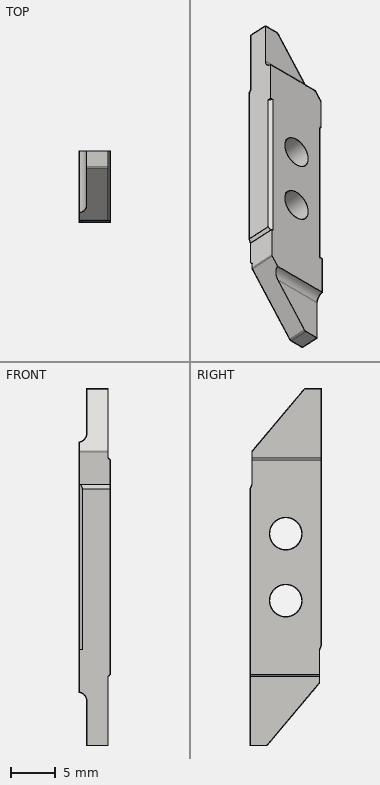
import cadquery as cq
import math

THICKNESS = 3.5
WIDTH = 8.0
LENGTH = 40.0

SIDE_RELIEF = 0.2
RELIEF_START_Z = 9.25
RELIEF_RAMP_HEIGHT = 0.5
SLOPE_START_Z = 12.95
SLOPE_ANGLE = 50.0
SLOPE_START_RADIUS = 0.2
SLOPE_TIP_RADIUS = 0.3

TIP_DEPTH = 0.85
COVE_RADIUS = 1.0
COVE_CENTER_Z = 15.0
BACK_RELIEF = 0.25
BACK_SHOULDER_Z = 12.0

EDGE_CHAMFER = 0.4
HOLE_DIAMETER = 3.6
HOLE_SPACING = 7.5

FACE_X = THICKNESS / 2
SIDE_Y = WIDTH / 2
END_Z = LENGTH / 2


def half_turned(points):
    """Points turned by 180 degrees in their sketch plane."""
    return [(-a, -b) for a, b in points]


def side_outline():
    """Plate of full thickness with the sloped tips and the relieved sides."""
    relieved_y = -SIDE_Y + SIDE_RELIEF
    slope_run = (END_Z - SLOPE_START_Z) / math.tan(math.radians(SLOPE_ANGLE))
    slope_corners = [
        (relieved_y, SLOPE_START_Z),
        (relieved_y + slope_run, END_Z),
    ]
    half = [
        (-SIDE_Y, RELIEF_START_Z - RELIEF_RAMP_HEIGHT),
        (relieved_y, RELIEF_START_Z),
        *slope_corners,
        (SIDE_Y, END_Z),
    ]
    plate = (
        cq.Workplane("YZ")
        .polyline(half + half_turned(half))
        .close()
        .extrude(FACE_X, both=True)
    )
    for corner, radius in zip(slope_corners, (SLOPE_START_RADIUS, SLOPE_TIP_RADIUS)):
        for y, z in [corner] + half_turned([corner]):
            nearest_edge = cq.selectors.NearestToPointSelector((0, y, z))
            plate = plate.edges("|X").edges(nearest_edge).fillet(radius)
    return plate


def thickness_profile():
    """Full-width bar with the stepped thickness seen along Y."""
    front_x = -FACE_X
    tip_front_x = front_x + TIP_DEPTH
    tip_back_x = FACE_X - BACK_RELIEF
    cove_center_x = tip_front_x - COVE_RADIUS
    cove_angle = math.acos((front_x - cove_center_x) / COVE_RADIUS)
    cove_end_z = COVE_CENTER_Z - COVE_RADIUS * math.sin(cove_angle)
    cove_mid = (
        cove_center_x + COVE_RADIUS * math.cos(cove_angle / 2),
        COVE_CENTER_Z - COVE_RADIUS * math.sin(cove_angle / 2),
    )
    shoulder_top_z = BACK_SHOULDER_Z + BACK_RELIEF
    upper_half = (
        cq.Workplane("XZ")
        .moveTo(front_x, 0)
        .lineTo(front_x, cove_end_z)
        .threePointArc(cove_mid, (tip_front_x, COVE_CENTER_Z))
        .lineTo(tip_front_x, END_Z)
        .lineTo(tip_back_x, END_Z)
        .lineTo(tip_back_x, shoulder_top_z)
        .lineTo(FACE_X, BACK_SHOULDER_Z)
        .lineTo(FACE_X, 0)
        .close()
        .extrude(SIDE_Y, both=True)
    )
    return upper_half.union(upper_half.mirror("XY"))


def edge_bevel(side):
    """Triangular cutter for the long -X edge on the given side (+1 or -1)."""
    corner_y = side * SIDE_Y
    return (
        cq.Workplane("XY", origin=(-FACE_X, corner_y, 0))
        .polyline([(0, 0), (EDGE_CHAMFER, 0), (0, -side * EDGE_CHAMFER)])
        .close()
        .extrude(RELIEF_START_Z, both=True)
    )


def mounting_holes():
    """Two through holes along X."""
    return (
        cq.Workplane("YZ")
        .pushPoints([(0, HOLE_SPACING / 2), (0, -HOLE_SPACING / 2)])
        .circle(HOLE_DIAMETER / 2)
        .extrude(FACE_X, both=True)
    )


body = side_outline().intersect(thickness_profile())
for side in (1, -1):
    body = body.cut(edge_bevel(side))
result = body.cut(mounting_holes())